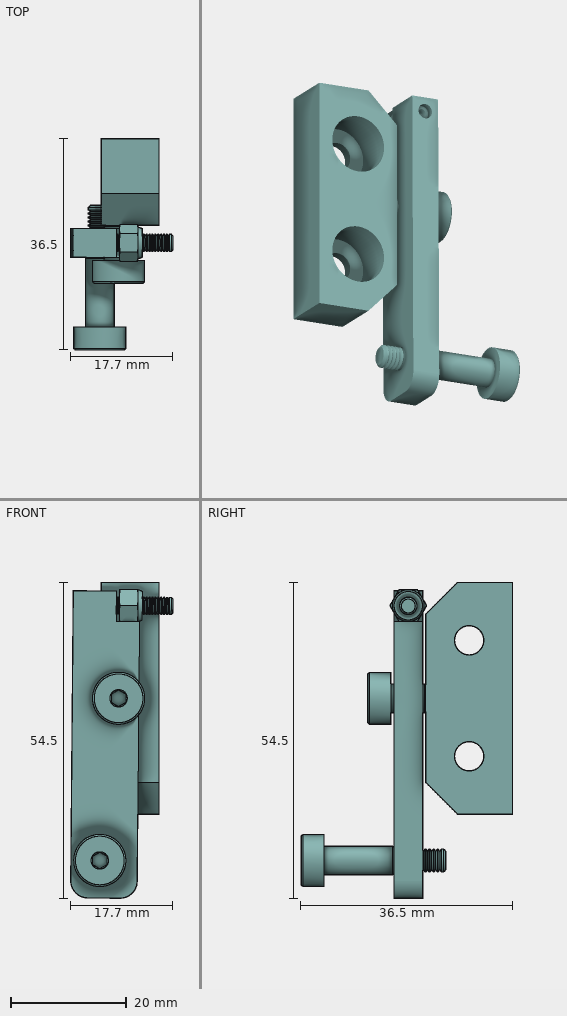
import cadquery as cq
import math


block_width = 10.0
block_depth = 15.0
block_height = 40.0
block_left = -3.0
block_chamfer = 5.5
block_hole_spacing = 20.0
block_hole_diameter = 5.0
counterbore_diameter = 10.0
counterbore_depth = 8.0

arm_tilt = 0.5
arm_left = -8.0
arm_right = 3.5
arm_top = 18.5
arm_bottom = -34.5
arm_thickness = 5.0
arm_corner_radius = 3.0
running_gap = 0.5
arm_back = -running_gap
arm_front = arm_back - arm_thickness
arm_middle = (arm_back + arm_front) / 2

head_diameter = 9.0
head_height = 4.0
head_chamfer = 0.3
shoulder_diameter = 5.0
shoulder_chamfer = 0.2
socket_flats = 2.5
socket_depth = 2.0
socket_entry_diameter = 3.0
m4_diameter = 4.0
m4_pitch = 0.7
m4_length = 9.0
pivot_shoulder_length = arm_thickness + 2 * running_gap
handle_shoulder_length = 12.0
handle_x = -3.0
handle_z = -28.0

m3_diameter = 3.0
m3_pitch = 0.5
stop_length = 16.0
stop_right = 9.25
stop_left = stop_right - stop_length
stop_z = 16.0
stop_recess_diameter = 1.5
stop_recess_depth = 0.7
stop_entry_diameter = 2.59
nut_flats = 5.5
nut_left = 0.0
nut_height = 3.2
nut_chamfer = 0.1
collar_thickness = 0.75
collar_end_diameter = 4.9
collar_bulge = 0.05

notch_wall = nut_left - running_gap
notch_floor = stop_z - nut_flats / 2

thread_depth_per_pitch = 0.6
groove_bottom_share = 0.4
groove_width_share = 0.8
cut_margin = 1.0


def cylinder_y(diameter, x, z, y_start, y_end):
    """Cylinder along Y between two Y positions."""
    start = cq.Vector(x, y_start, z)
    direction = cq.Vector(0, y_end - y_start, 0)
    return cq.Workplane(cq.Solid.makeCylinder(diameter / 2, abs(y_end - y_start), start, direction))


def cylinder_x(diameter, x_start, x_end):
    """Cylinder along X on the stop screw axis."""
    start = cq.Vector(x_start, arm_middle, stop_z)
    return cq.Workplane(cq.Solid.makeCylinder(diameter / 2, x_end - x_start, start, cq.Vector(1, 0, 0)))


def onto_stop_axis(body, x):
    """Turn a body built along Z so that it runs along the stop screw axis from position x."""
    turned = body.rotate((0, 0, 0), (0, 1, 0), 90)
    return turned.translate((x, arm_middle, stop_z))


def tilted(body):
    """Swing a body about the pivot axis by the tilt of the arm."""
    return body.rotate((0, 0, 0), (0, 1, 0), arm_tilt)


def hexagon(flats):
    """Hexagon with two corners on the local X axis."""
    return cq.Workplane("XY").polygon(6, flats / math.cos(math.pi / 6))


def threaded_rod(diameter, pitch, length):
    """Rod along Z with ring-shaped thread grooves and a chamfer at both ends."""
    crest = diameter / 2
    depth = thread_depth_per_pitch * pitch
    root = crest - depth
    groove_count = math.floor((length - 2 * depth) / pitch)
    first_crest = (length - groove_count * pitch) / 2
    profile = cq.Workplane("XZ").lineTo(root, 0).lineTo(crest, depth).lineTo(crest, first_crest)
    for groove in range(groove_count):
        groove_start = first_crest + groove * pitch
        profile = profile.lineTo(root, groove_start + groove_bottom_share * pitch)
        profile = profile.lineTo(crest, groove_start + groove_width_share * pitch)
        profile = profile.lineTo(crest, groove_start + pitch)
    profile = profile.lineTo(crest, length - depth).lineTo(root, length).lineTo(0, length).close()
    return profile.revolve(360, (0, 0), (0, 1))


def make_block():
    front_edges = cq.selectors.BoxSelector(
        (block_left - cut_margin, -cut_margin, -block_height),
        (block_left + block_width + cut_margin, cut_margin, block_height),
    )
    block = cq.Workplane("XY").box(block_width, block_depth, block_height)
    block = block.translate((block_left + block_width / 2, block_depth / 2, 0))
    block = block.edges("|X").edges(front_edges).chamfer(block_chamfer)
    block = (
        block.faces("<X")
        .workplane(centerOption="CenterOfBoundBox")
        .rarray(1, block_hole_spacing, 1, 2)
        .cboreHole(block_hole_diameter, counterbore_diameter, counterbore_depth)
    )
    return block.cut(cylinder_y(m4_diameter, 0, 0, 0, m4_length))


def make_arm():
    width = arm_right - arm_left
    height = arm_top - arm_bottom
    arm = cq.Workplane("XY").box(width, arm_thickness, height, centered=False)
    arm = arm.translate((arm_left, arm_front, arm_bottom))
    arm = arm.edges("|Y and <Z").fillet(arm_corner_radius)
    notch = cq.Workplane("XY").box(width, arm_thickness, height, centered=False)
    arm = arm.cut(notch.translate((notch_wall, arm_front, notch_floor)))
    arm = arm.cut(cylinder_y(shoulder_diameter, 0, 0, arm_front, arm_back))
    arm = arm.cut(cylinder_y(m4_diameter, handle_x, handle_z, arm_front, arm_back))
    arm = arm.cut(cylinder_x(stop_entry_diameter, arm_left, stop_left))
    arm = arm.cut(cylinder_x(m3_diameter, stop_left, notch_wall))
    return tilted(arm)


def make_shoulder_screw(shoulder_length, shoulder_end, x, z):
    """Socket head shoulder screw pointing along +Y, with its shoulder ending at shoulder_end."""
    head = cq.Workplane("XY").circle(head_diameter / 2).extrude(head_height)
    head = head.faces("<Z").chamfer(head_chamfer)
    head = head.cut(hexagon(socket_flats).extrude(socket_depth))
    entry_depth = (socket_entry_diameter - socket_flats) / 2
    head = head.cut(cq.Solid.makeCone(socket_entry_diameter / 2, socket_flats / 2, entry_depth))
    shoulder = cq.Workplane("XY").circle(shoulder_diameter / 2).extrude(shoulder_length)
    shoulder = shoulder.faces(">Z").chamfer(shoulder_chamfer).translate((0, 0, head_height))
    shank = head_height + shoulder_length
    thread = threaded_rod(m4_diameter, m4_pitch, m4_length).translate((0, 0, shank))
    screw = head.union(shoulder).union(thread)
    screw = screw.rotate((0, 0, 0), (0, 0, 1), 90).rotate((0, 0, 0), (1, 0, 0), -90)
    return screw.translate((x, shoulder_end - shank, z))


def make_stop_screw():
    recess = cq.Solid.makeCone(stop_recess_diameter / 2, 0, stop_recess_depth)
    screw = threaded_rod(m3_diameter, m3_pitch, stop_length).cut(recess)
    return tilted(onto_stop_axis(screw, stop_left))


def make_nut():
    nut = hexagon(nut_flats).extrude(nut_height)
    corner_radius = nut_flats / 2 / math.cos(math.pi / 6)
    envelope = (
        cq.Workplane("XZ")
        .lineTo(nut_flats / 2, 0)
        .lineTo(corner_radius, nut_chamfer)
        .lineTo(corner_radius, nut_height - nut_chamfer)
        .lineTo(nut_flats / 2, nut_height)
        .lineTo(0, nut_height)
        .close()
        .revolve(360, (0, 0), (0, 1))
    )
    bore = cq.Workplane("XY").circle(m3_diameter / 2).extrude(nut_height)
    nut = nut.intersect(envelope).cut(bore)
    nut = nut.rotate((0, 0, 0), (0, 0, 1), 90)
    return tilted(onto_stop_axis(nut, nut_left))


def make_collar():
    """Ring with a rounded rim, seated on the right face of the nut."""
    base_radius = nut_flats / 2
    end_radius = collar_end_diameter / 2
    rim_middle = ((base_radius + end_radius) / 2 + collar_bulge, collar_thickness / 2)
    collar = (
        cq.Workplane("XZ")
        .moveTo(m3_diameter / 2, 0)
        .lineTo(base_radius, 0)
        .threePointArc(rim_middle, (end_radius, collar_thickness))
        .lineTo(m3_diameter / 2, collar_thickness)
        .close()
        .revolve(360, (0, 0), (0, 1))
    )
    return tilted(onto_stop_axis(collar, nut_left + nut_height))


block = make_block()
arm = make_arm()
pivot_screw = make_shoulder_screw(pivot_shoulder_length, 0, 0, 0)
handle_screw = tilted(make_shoulder_screw(handle_shoulder_length, arm_front, handle_x, handle_z))
stop_screw = make_stop_screw()
nut = make_nut()
collar = make_collar()

bodies = [block, arm, pivot_screw, handle_screw, stop_screw, nut, collar]
result = cq.Compound.makeCompound([body.solids().val() for body in bodies])